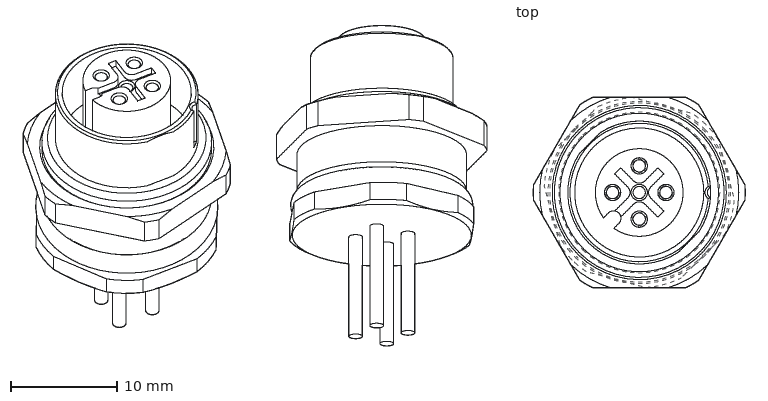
import cadquery as cq
import math


hexagon_half_step = 30

total_height = 29.55
pin_length = 10.0
flange_thickness = 2.0
ring_section_radius = 1.0
body_height = 8.0
shell_height = 6.0
flange_bottom = pin_length
flange_top = flange_bottom + flange_thickness
body_bottom = flange_top + 2 * ring_section_radius
body_top = body_bottom + body_height
shell_top = body_top + shell_height

flange_radius = 8.98
flange_across_flats = 17.0
flange_turn = 15.0
flange_chamfer_width = 0.53
flange_chamfer_height = 0.3

body_radius = 8.0
body_top_chamfer = 0.53
body_bottom_chamfer = 0.4
stem_radius = body_radius - body_bottom_chamfer

nut_bottom = 18.05
nut_thickness = 2.75
nut_across_flats = 18.0
nut_diameter = 20.0
nut_radius = nut_diameter / 2
nut_chamfer_width = 0.62
nut_chamfer_height = 0.27
nut_countersink = 0.2

shell_radius = 6.75
shell_chamfer = 0.2
shell_flat_distance = 6.6
shell_flat_angles = (135, 315)
well_radius = 6.1
groove_radius = 0.5
groove_offset = 6.9
groove_length = 5.02

core_radius = 4.15
contact_pitch_radius = 2.5
contact_angles = (0, 90, 180, 270)
socket_diameter = 1.15
socket_rim_diameter = 1.55
socket_depth = 5.0
slot_width = 0.8
slot_length = 5.75
slot_depth = 0.75
slot_turn = 45
slot_corner_radius = 0.77
keyway_width = 1.4
keyway_offset = 3.43
keyway_angle = 225

pin_diameter = 1.3


def cylinder(radius, bottom, top):
    return cq.Workplane("XY").workplane(offset=bottom).circle(radius).extrude(top - bottom)


def hexagon(across_flats, bottom, thickness):
    """Hexagonal prism with corners on the X axis."""
    across_corners = across_flats / math.cos(math.radians(hexagon_half_step))
    return cq.Workplane("XY").workplane(offset=bottom).polygon(6, across_corners).extrude(thickness)


def turned(outline):
    """Solid of revolution about Z from (radius, height) points."""
    return cq.Workplane("XZ").polyline(outline).close().revolve(360, (0, 0), (0, 1))


def around_axis(solid, angle):
    return solid.rotate((0, 0, 0), (0, 0, 1), angle)


def contact_position(angle):
    return (
        contact_pitch_radius * math.cos(math.radians(angle)),
        contact_pitch_radius * math.sin(math.radians(angle)),
    )


def make_flange():
    blank = turned([
        (0, flange_bottom),
        (flange_radius - flange_chamfer_width, flange_bottom),
        (flange_radius, flange_bottom + flange_chamfer_height),
        (flange_radius, flange_top),
        (0, flange_top),
    ])
    prism = hexagon(flange_across_flats, flange_bottom, flange_thickness)
    return blank.intersect(around_axis(prism, flange_turn - hexagon_half_step))


def make_body():
    return turned([
        (0, flange_top),
        (stem_radius, flange_top),
        (stem_radius, body_bottom),
        (body_radius, body_bottom + body_bottom_chamfer),
        (body_radius, body_top - body_top_chamfer),
        (body_radius - body_top_chamfer, body_top),
        (0, body_top),
    ])


def make_sealing_ring():
    middle = flange_top + ring_section_radius
    section = cq.Workplane("XZ").center(stem_radius, middle).circle(ring_section_radius)
    return section.revolve(360, (-stem_radius, 0), (-stem_radius, 1))


def make_nut():
    nut_top = nut_bottom + nut_thickness
    blank = turned([
        (body_radius, nut_bottom),
        (nut_radius, nut_bottom),
        (nut_radius, nut_top - nut_chamfer_height),
        (nut_radius - nut_chamfer_width, nut_top),
        (body_radius + nut_countersink, nut_top),
        (body_radius, nut_top - nut_countersink),
    ])
    return blank.intersect(hexagon(nut_across_flats, nut_bottom, nut_thickness))


def make_coding_groove():
    """Round groove down the outside of the shell at +X, flared at the top."""
    groove = cylinder(groove_radius, shell_top - groove_length, shell_top)
    flare = turned([
        (0, shell_top - shell_chamfer),
        (groove_radius, shell_top - shell_chamfer),
        (groove_radius + shell_chamfer, shell_top),
        (0, shell_top),
    ])
    return groove.union(flare).translate((groove_offset, 0, 0))


def make_shell():
    shell = cylinder(shell_radius, body_top, shell_top).faces(">Z").chamfer(shell_chamfer)
    for angle in shell_flat_angles:
        slab = cq.Workplane("XY").box(
            shell_radius, 2 * shell_radius, shell_height, centered=(False, True, False)
        )
        slab = slab.translate((shell_flat_distance, 0, body_top))
        shell = shell.cut(around_axis(slab, angle))
    shell = shell.cut(make_coding_groove())
    return shell.cut(cylinder(well_radius, body_top, shell_top))


def make_socket(x, y, top):
    """Contact hole with a conical lead-in whose rim is at the given height."""
    lead_in = (socket_rim_diameter - socket_diameter) / 2
    socket = turned([
        (0, total_height - socket_depth),
        (socket_diameter / 2, total_height - socket_depth),
        (socket_diameter / 2, top - lead_in),
        (socket_rim_diameter / 2, top),
        (0, top),
    ])
    return socket.translate((x, y, 0))


def make_crossed_slots(floor):
    """Two crossed slots with rounded corners where they meet."""
    along_x = cq.Workplane("XY").box(slot_length, slot_width, slot_depth, centered=(True, True, False))
    cross = along_x.union(around_axis(along_x, 90))
    inner_corners = cq.selectors.BoxSelector(
        (-slot_width, -slot_width, 0), (slot_width, slot_width, slot_depth)
    )
    cross = cross.edges("|Z").edges(inner_corners).fillet(slot_corner_radius)
    return around_axis(cross, slot_turn).translate((0, 0, floor))


def make_keyway():
    """Round-bottomed channel down the side of the insert."""
    height = total_height - body_top
    channel = cq.Workplane("XY").box(core_radius, keyway_width, height, centered=(False, True, False))
    keyway = cylinder(keyway_width / 2, 0, height).union(channel)
    return around_axis(keyway.translate((keyway_offset, 0, body_top)), keyway_angle)


def make_core():
    slot_floor = total_height - slot_depth
    core = cylinder(core_radius, body_top, total_height)
    core = core.cut(make_crossed_slots(slot_floor)).cut(make_keyway())
    core = core.cut(make_socket(0, 0, slot_floor))
    for angle in contact_angles:
        x, y = contact_position(angle)
        core = core.cut(make_socket(x, y, total_height))
    return core


def make_pins():
    positions = [contact_position(angle) for angle in contact_angles]
    return cq.Workplane("XY").pushPoints(positions).circle(pin_diameter / 2).extrude(flange_top)


result = (
    make_flange()
    .union(make_body())
    .union(make_sealing_ring())
    .union(make_nut())
    .union(make_shell())
    .union(make_core())
    .union(make_pins())
)